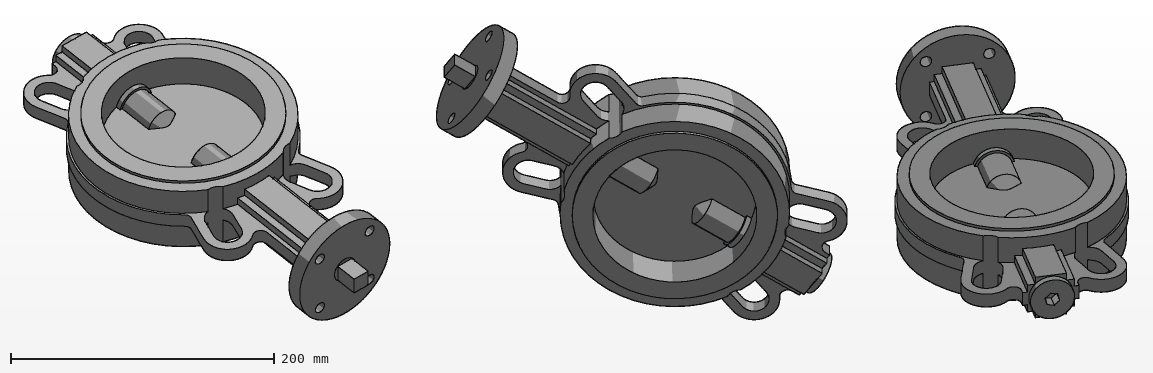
import cadquery as cq
import math


bore_radius = 62.2
ring_radius = 87.2
ring_height = 56.5
seat_radius = 78.0
seat_lip = 2.5
band_radius = 89.0
plate_thickness = 11.5

neck_wide = 36.5
neck_narrow = 24.3
plate_width = 44.0
neck_bars = [
    (neck_narrow, neck_wide),
    (neck_wide, neck_narrow),
    (plate_width, plate_thickness),
]
foot_end_x = -128.0
flange_start_x = 176.8

slot_x = 96.5
slot_y = 42.0
slot_angle = 18.5
slot_spacing = 17.0
slot_radius = 11.3
lug_radius = 19.5
lug_root_length = 30.8
neck_fillet = 6.0
band_fillet = 5.0

plug_diameter = 34.5
plug_length = 5.5
socket_diameter = 11.5
socket_depth = 10.3
socket_angle = 16.0

flange_diameter = 90.0
flange_thickness = 12.5
bolt_circle_diameter = 70.0
bolt_hole_diameter = 9.0
bolt_count = 4

disc_thickness = 8.2
hub_diameter = 28.0
collar_diameter = 32.0
collar_inner_x = 55.7
hub_inner_x = 25.0
hub_cone_length = 9.5
stem_diameter = 20.5
square_side = 14.0
square_length = 19.0
flange_end_x = flange_start_x + flange_thickness


def rod_along_x(diameter, start_x, end_x):
    return cq.Workplane("YZ").workplane(offset=start_x).circle(diameter / 2).extrude(end_x - start_x)


def slot_prism(radius, height):
    """Slot-shaped prism of the lug in the +X +Y quadrant."""
    return (
        cq.Workplane("XY")
        .center(slot_x, slot_y)
        .slot2D(slot_spacing + 2 * radius, 2 * radius, slot_angle)
        .extrude(height / 2, both=True)
    )


def make_lug():
    """Lug around the slot, its sides running straight into the ring."""
    root = (
        cq.Workplane("XY")
        .transformed(offset=(slot_x, slot_y), rotate=(0, 0, slot_angle))
        .center(-lug_root_length / 2, 0)
        .rect(lug_root_length, 2 * lug_radius)
        .extrude(plate_thickness / 2, both=True)
    )
    return slot_prism(lug_radius, plate_thickness).union(root)


def make_web():
    """Web from the lug to the neck, with a concave round tangent to both."""
    half_spacing = slot_spacing / 2
    tip_x = slot_x + half_spacing * math.cos(math.radians(slot_angle))
    tip_y = slot_y + half_spacing * math.sin(math.radians(slot_angle))
    round_y = plate_width / 2 + neck_fillet
    round_x = tip_x + math.sqrt((lug_radius + neck_fillet) ** 2 - (tip_y - round_y) ** 2)
    web = (
        cq.Workplane("XY")
        .polyline([(0, 0), (round_x, 0), (round_x, round_y), (tip_x, tip_y)])
        .close()
        .extrude(plate_thickness / 2, both=True)
    )
    concave_round = (
        cq.Workplane("XY").center(round_x, round_y).circle(neck_fillet).extrude(plate_thickness, both=True)
    )
    return web.cut(concave_round)


def in_all_quadrants(shape):
    pair = shape.union(shape.mirror("YZ"))
    return pair.union(pair.mirror("XZ"))


def lug_corner():
    """Point where the outer side of a lug runs into the band."""
    angle = math.radians(slot_angle)
    side_offset = slot_y * math.cos(angle) - slot_x * math.sin(angle) + lug_radius
    along = math.sqrt(band_radius**2 - side_offset**2)
    corner_x = along * math.cos(angle) - side_offset * math.sin(angle)
    corner_y = along * math.sin(angle) + side_offset * math.cos(angle)
    return corner_x, corner_y, 0


def make_lug_plate():
    """Middle band of the ring with the four lugs blended into it."""
    band = cq.Workplane("XY").circle(band_radius).extrude(plate_thickness / 2, both=True)
    plate = band.union(make_lug()).union(make_web())
    corner_edge = plate.edges("|Z").edges(cq.selectors.NearestToPointSelector(lug_corner()))
    return in_all_quadrants(corner_edge.fillet(band_fillet))


def make_flange():
    flange = rod_along_x(flange_diameter, flange_start_x, flange_end_x)
    bolt_holes = (
        cq.Workplane("YZ")
        .workplane(offset=flange_start_x)
        .polarArray(bolt_circle_diameter / 2, 180 / bolt_count, 360, bolt_count)
        .circle(bolt_hole_diameter / 2)
        .extrude(flange_thickness)
    )
    return flange.cut(bolt_holes)


def make_plug():
    return rod_along_x(plug_diameter, foot_end_x - plug_length, foot_end_x)


def make_socket():
    """Hexagon socket sunk into the end plug."""
    return (
        cq.Workplane("YZ")
        .workplane(offset=foot_end_x - plug_length)
        .polygon(6, socket_diameter)
        .extrude(socket_depth)
        .rotate((0, 0, 0), (1, 0, 0), socket_angle)
    )


def make_stem():
    """Round stem from the disc through the upper neck to the flange face."""
    return rod_along_x(stem_diameter, hub_inner_x, flange_end_x)


def make_stem_square():
    end_face = cq.Workplane("YZ").workplane(offset=flange_end_x)
    return end_face.rect(square_side, square_side).extrude(square_length)


def make_necks():
    necks = cq.Workplane("XY")
    for width, height in neck_bars:
        bar = cq.Workplane("YZ").workplane(offset=foot_end_x).rect(width, height)
        necks = necks.add(bar.extrude(flange_start_x - foot_end_x))
    return necks.combine()


def make_housing():
    ring = cq.Workplane("XY").circle(ring_radius).extrude(ring_height / 2, both=True)
    seat = cq.Workplane("XY").circle(seat_radius).extrude(ring_height / 2 + seat_lip, both=True)
    housing = ring.union(seat).union(make_lug_plate()).union(make_necks())
    housing = housing.cut(in_all_quadrants(slot_prism(slot_radius, ring_height)))
    housing = housing.union(make_flange()).union(make_plug())
    bore = cq.Workplane("XY").circle(bore_radius).extrude(ring_height, both=True)
    return housing.cut(bore).cut(make_stem()).cut(make_socket())


def make_hub():
    """Hub on the +X side: collar, round boss and a cone towards the centre."""
    tip_x = hub_inner_x - hub_cone_length
    profile = [
        (tip_x, 0),
        (hub_inner_x, hub_diameter / 2),
        (collar_inner_x, hub_diameter / 2),
        (collar_inner_x, collar_diameter / 2),
        (bore_radius, collar_diameter / 2),
        (bore_radius, 0),
    ]
    return cq.Workplane("XY").polyline(profile).close().revolve(360, (0, 0, 0), (1, 0, 0))


def make_disc():
    plate = cq.Workplane("XY").circle(bore_radius).extrude(disc_thickness / 2, both=True)
    hub = make_hub()
    disc = plate.union(hub).union(hub.mirror("YZ"))
    ball = cq.Workplane("XY").sphere(bore_radius).rotate((0, 0, 0), (0, 1, 0), 90)
    disc = disc.intersect(ball)
    return disc.union(make_stem()).union(make_stem_square())


housing = make_housing()
disc = make_disc()
result = cq.Compound.makeCompound([housing.val(), disc.val()])